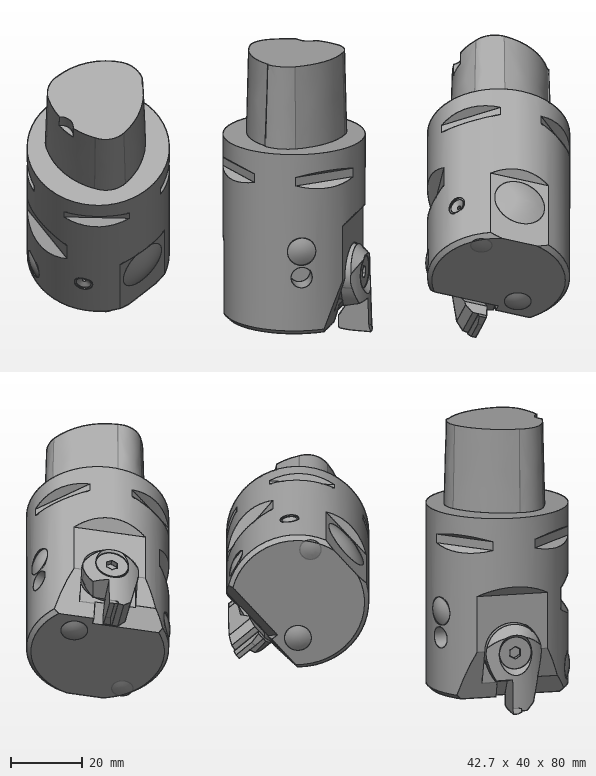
import cadquery as cq
import math

body_radius = 20.0
body_length = 53.1
body_chamfer = 1.25
outside = 30.0

shank_length = 24.0
shank_large_arc = 19.2
shank_small_arc = 9.0
lobe_centre_radius = 6.1
lobe_angles = (90, 210, 330)
lobe_half_angle = 30
shank_side_taper = 0.6
shank_taper_angle = math.degrees(math.atan(shank_side_taper / shank_length))
keyway_diameter = 7.1
keyway_centre_y = -14.55
keyway_depth = 4.1

gripper_floor_radius = 17.75
gripper_top = -6.7
gripper_bottom = -9.2
gripper_flank_angle = 30.0
gripper_azimuths = (45, 135, 225, 315)

flat_radius = 17.2
flat_top = -22.7
flat_flank_angle = 45.0
side_flat_bottom = -28.9
side_flat_azimuth = 260.0
back_flat_radius = 18.05
back_flat_top = -30.4

seat_z = -38.8
seat_diameter = 16.0
seat_radius = seat_diameter / 2
seat_floor_x = -14.2
relief_end_x = -12.8
steep_start_x = -14.5
steep_start_z = -47.5
steep_end_x = -10.75
steep_edge_y = 3.6

boss_diameter = 14.8
boss_rise = 1.5

plug_diameter = 8.02
plug_rise = 0.9
front_plug_azimuth = 249.0
front_plug_z = -46.4
rear_hole_azimuth = 112.5
rear_plug_z = -28.6
rear_hole_z = -36.2
rear_hole_diameter = 6.0
rear_hole_depth = 6.0

nozzle_azimuth = 304.4
nozzle_z = -39.0
nozzle_diameter = 5.25
nozzle_floor_radius = 19.6
nozzle_cone_diameter = 4.25
nozzle_cone_depth = 0.85
nozzle_bore_diameter = 1.0
nozzle_bore_depth = 2.0

end_domes = [
    (-7.0, 8.1, 7.54, 0.9),
    (13.2, -9.7, 6.0, 0.4),
]

screw_head_diameter = 9.2
screw_face_x = -20.5
screw_head_height = 3.0
screw_shank_diameter = 5.0
screw_tip_x = -6.0
hex_corner_diameter = 3.6
hex_depth = 1.5
hex_turn = 30

front_arc_radius = 12.4
front_x = -22.2
front_pivot_z = -53.0
front_tilt = 1.85
disc_drop = 0.3
disc_z = seat_z - disc_drop
disc_bevel_x = -18.3
bevel_cone_z = -39.8
bevel_cone_radius = 8.7
bevel_angle = 40.0
countersink_start_x = -20.7
countersink_half_angle = 52.0
blade_back_x = -15.85
foot_back_x = -13.3
foot_start_z = -48.0
foot_full_z = -51.9
blade_bottom_z = -55.3
blade_edge_y = 1.1
blade_right_top = (-7.85, -40.7)
blade_right_bottom = (-5.2, -53.1)
blade_corner = (-3.1, blade_bottom_z)
blade_left_top = (7.95, -39.6)
blade_left_mid = (6.6, -44.5)
blade_left_bottom = (4.5, -47.9)
notch_front_z = -46.1
notch_back_z = -47.9
tip_x = -22.74
tip_z = -56.0
tip_top_z = -54.0
tip_right_y = -1.4
tip_top_x = -22.1
tip_edge_end_x = -16.9
tip_heel = (-13.8, -55.7)
tip_flat_end_y = -0.3
tip_right_bottom_z = -55.5
tip_right_top_z = -54.6


def at_azimuth(shape, azimuth, z=0.0):
    """Turn a shape built on the +X side to an azimuth about Z and lift it to a height."""
    return shape.rotate((0, 0, 0), (0, 0, 1), azimuth).translate((0, 0, z))


def prism_y(points, y_from, y_to):
    """Prism along Y over an (x, z) outline."""
    return cq.Workplane("XZ", origin=(0, y_to, 0)).polyline(points).close().extrude(y_to - y_from)


def turned_x(points, z=0.0):
    """Solid of revolution about the X direction from an (x, radius) half outline."""
    half = cq.Workplane("XY").polyline(points).close()
    return half.revolve(360, (0, 0, 0), (1, 0, 0)).translate((0, 0, z))


def dome(diameter, rise):
    """Spherical cap standing on the YZ plane and bulging toward +X."""
    radius = diameter / 2
    sphere_radius = (radius**2 + rise**2) / (2 * rise)
    half = (
        cq.Workplane("XY")
        .moveTo(0, 0)
        .lineTo(0, radius)
        .radiusArc((rise, 0), sphere_radius)
        .close()
    )
    return half.revolve(360, (0, 0, 0), (1, 0, 0))


def milled_flat(floor_radius, top, bottom, flank_angle, azimuth):
    """Cutter for a flat-bottomed notch with sloped upper and lower flanks."""
    spread = (outside - floor_radius) * math.tan(math.radians(flank_angle))
    outline = [
        (floor_radius, top),
        (outside, top + spread),
        (outside, bottom - spread),
        (floor_radius, bottom),
    ]
    return at_azimuth(prism_y(outline, -outside, outside), azimuth)


def lobed_outline():
    """Constant-width outline of three small lobe arcs joined by three large arcs, one lobe at +Y."""
    def arc_point(lobe_angle, radius, normal_angle):
        lobe = math.radians(lobe_angle)
        normal = math.radians(normal_angle)
        return (
            lobe_centre_radius * math.cos(lobe) + radius * math.cos(normal),
            lobe_centre_radius * math.sin(lobe) + radius * math.sin(normal),
        )

    start = arc_point(lobe_angles[0], shank_small_arc, lobe_angles[0] - lobe_half_angle)
    outline = cq.Workplane("XY").moveTo(*start)
    for lobe_angle in lobe_angles:
        outline = outline.threePointArc(
            arc_point(lobe_angle, shank_small_arc, lobe_angle),
            arc_point(lobe_angle, shank_small_arc, lobe_angle + lobe_half_angle),
        )
        large_arc_middle = lobe_angle + 2 * lobe_half_angle
        opposite_lobe = large_arc_middle + 180
        outline = outline.threePointArc(
            arc_point(opposite_lobe, shank_large_arc, large_arc_middle),
            arc_point(opposite_lobe, shank_large_arc, large_arc_middle + lobe_half_angle),
        )
    return outline.close()


def make_shank():
    shank = lobed_outline().extrude(shank_length, taper=shank_taper_angle)
    keyway = (
        cq.Workplane("XY", origin=(0, keyway_centre_y, shank_length - keyway_depth))
        .circle(keyway_diameter / 2)
        .extrude(keyway_depth)
    )
    return shank.cut(keyway)


def cutter_side_relief():
    """Flat on the -X side that runs into one shallow and one steeper slope at the bottom."""
    flank_rise = (outside - flat_radius) * math.tan(math.radians(flat_flank_angle))
    flat = [
        (-flat_radius, flat_top),
        (-outside, flat_top + flank_rise),
        (-outside, -body_length),
        (relief_end_x, -body_length),
        (-flat_radius, seat_z),
    ]
    steep = [
        (steep_start_x, steep_start_z),
        (-outside, steep_start_z),
        (-outside, -body_length),
        (steep_end_x, -body_length),
    ]
    relief = prism_y(flat, -outside, outside)
    return relief.union(prism_y(steep, -outside, steep_edge_y))


def cutter_seat():
    """Round-topped seat for the cutter, open toward the bottom."""
    depth = outside + seat_floor_x
    plane = cq.Workplane("YZ", origin=(-outside, 0, 0))
    round_top = plane.center(0, seat_z).circle(seat_radius).extrude(depth)
    slot_length = body_length + seat_z
    slot = plane.center(0, seat_z - slot_length / 2).rect(seat_diameter, slot_length).extrude(depth)
    return round_top.union(slot)


def back_boss():
    """Domed boss on the flat opposite the cutter, with a root that joins it to the body."""
    root = cq.Workplane("YZ").circle(boss_diameter / 2).extrude(back_flat_radius)
    cap = dome(boss_diameter, boss_rise).translate((back_flat_radius, 0, 0))
    return root.union(cap).translate((0, 0, seat_z))


def add_domed_plug(body, azimuth, z):
    """Round pocket whose floor carries a domed plug that bulges slightly past the wall."""
    plug_radius = plug_diameter / 2
    base_radius = math.sqrt(body_radius**2 - plug_radius**2)
    pocket = cq.Workplane("YZ", origin=(base_radius, 0, 0)).circle(plug_radius).extrude(outside - base_radius)
    cap = dome(plug_diameter, plug_rise).translate((base_radius, 0, 0))
    return body.cut(at_azimuth(pocket, azimuth, z)).union(at_azimuth(cap, azimuth, z))


def nozzle_recess():
    cone_end = nozzle_floor_radius - nozzle_cone_depth
    bore_end = cone_end - nozzle_bore_depth
    recess = turned_x(
        [
            (bore_end, 0),
            (bore_end, nozzle_bore_diameter / 2),
            (cone_end, nozzle_bore_diameter / 2),
            (nozzle_floor_radius, nozzle_cone_diameter / 2),
            (nozzle_floor_radius, nozzle_diameter / 2),
            (outside, nozzle_diameter / 2),
            (outside, 0),
        ]
    )
    return at_azimuth(recess, nozzle_azimuth, nozzle_z)


def rear_hole():
    hole = (
        cq.Workplane("YZ", origin=(body_radius - rear_hole_depth, 0, 0))
        .circle(rear_hole_diameter / 2)
        .extrude(outside - body_radius + rear_hole_depth)
    )
    return at_azimuth(hole, rear_hole_azimuth, rear_hole_z)


def screw_blank():
    """Outside shape of the clamping screw, without its socket."""
    head_end_x = screw_face_x + screw_head_height
    return turned_x(
        [
            (screw_face_x, 0),
            (screw_face_x, screw_head_diameter / 2),
            (head_end_x, screw_head_diameter / 2),
            (head_end_x, screw_shank_diameter / 2),
            (screw_tip_x, screw_shank_diameter / 2),
            (screw_tip_x, 0),
        ],
        seat_z,
    )


def make_housing():
    body = cq.Workplane("XY").circle(body_radius).extrude(-body_length)
    body = body.faces("<Z").chamfer(body_chamfer).union(make_shank())
    for azimuth in gripper_azimuths:
        groove = milled_flat(gripper_floor_radius, gripper_top, gripper_bottom, gripper_flank_angle, azimuth)
        body = body.cut(groove)
    body = body.cut(
        milled_flat(flat_radius, flat_top, side_flat_bottom, flat_flank_angle, side_flat_azimuth)
    )
    body = body.cut(milled_flat(back_flat_radius, back_flat_top, -body_length, flat_flank_angle, 0))
    body = body.cut(cutter_side_relief()).cut(cutter_seat()).union(back_boss())
    body = add_domed_plug(body, front_plug_azimuth, front_plug_z)
    body = add_domed_plug(body, rear_hole_azimuth, rear_plug_z)
    body = body.cut(nozzle_recess()).cut(rear_hole())
    for x, y, diameter, rise in end_domes:
        cap = dome(diameter, rise).rotate((0, 0, 0), (0, 1, 0), 90)
        body = body.union(cap.translate((x, y, -body_length)))
    return body.cut(screw_blank())


def make_blade():
    """Blade from its front face to its back, which steps out to a thicker foot."""
    blade = (
        cq.Workplane("YZ", origin=(foot_back_x, 0, 0))
        .moveTo(*blade_right_top)
        .lineTo(*blade_right_bottom)
        .lineTo(*blade_corner)
        .lineTo(blade_edge_y, blade_bottom_z)
        .lineTo(blade_edge_y, blade_left_bottom[1])
        .lineTo(*blade_left_bottom)
        .threePointArc(blade_left_mid, blade_left_top)
        .close()
        .extrude(-(outside + foot_back_x))
    )
    behind_blade = [
        (blade_back_x, 0),
        (blade_back_x, foot_start_z),
        (foot_back_x, foot_full_z),
        (foot_back_x, 0),
    ]
    return blade.cut(prism_y(behind_blade, -outside, outside))


def make_cutter():
    disc_plane = cq.Workplane("YZ", origin=(-outside, 0, disc_z))
    disc = disc_plane.circle(seat_radius).extrude(outside + seat_floor_x)
    cutter = disc.union(make_blade())

    front_cylinder = (
        cq.Workplane("XY", origin=(front_x + front_arc_radius, 0, front_pivot_z - outside))
        .circle(front_arc_radius)
        .extrude(2 * outside)
        .rotate((front_x, 0, front_pivot_z), (front_x, 1, front_pivot_z), front_tilt)
    )
    cutter = cutter.intersect(front_cylinder)
    bevel_tip_x = disc_bevel_x - bevel_cone_radius / math.tan(math.radians(bevel_angle))
    outside_cone = turned_x(
        [
            (disc_bevel_x, bevel_cone_radius),
            (disc_bevel_x, outside),
            (bevel_tip_x, outside),
            (bevel_tip_x, 0),
        ],
        bevel_cone_z,
    )
    upper_half = cq.Workplane("XY", origin=(0, 0, seat_z)).rect(2 * outside, 2 * outside).extrude(outside)
    cutter = cutter.cut(outside_cone.intersect(upper_half))

    undercut = [
        (-outside, notch_front_z),
        (front_x, notch_front_z),
        (blade_back_x, notch_back_z),
        (seat_floor_x, notch_back_z),
        (seat_floor_x, tip_z),
        (-outside, tip_z),
    ]
    cutter = cutter.cut(prism_y(undercut, blade_edge_y, outside))

    head_radius = screw_head_diameter / 2
    sink_spread = (outside + countersink_start_x) * math.tan(math.radians(countersink_half_angle))
    countersink = turned_x(
        [
            (screw_face_x, 0),
            (screw_face_x, head_radius),
            (countersink_start_x, head_radius),
            (-outside, head_radius + sink_spread),
            (-outside, 0),
        ],
        seat_z,
    )
    return cutter.union(cutting_tip()).cut(countersink).cut(screw_blank())


def cutting_tip():
    """Thin cutting edge at the foot of the blade, flared forward and downward."""
    side = [
        (foot_back_x, tip_top_z),
        (tip_top_x, tip_top_z),
        (tip_x, tip_z),
        (tip_edge_end_x, tip_z),
        tip_heel,
        (foot_back_x, blade_bottom_z),
    ]
    face = (
        cq.Workplane("YZ", origin=(-outside, 0, 0))
        .moveTo(blade_edge_y, tip_top_z)
        .lineTo(blade_edge_y, tip_z)
        .lineTo(tip_flat_end_y, tip_z)
        .lineTo(tip_right_y, tip_right_bottom_z)
        .lineTo(tip_right_y, tip_right_top_z)
        .close()
        .extrude(outside)
    )
    return prism_y(side, tip_right_y, blade_edge_y).intersect(face)


def make_screw():
    socket = (
        cq.Workplane("YZ", origin=(screw_face_x, 0, seat_z))
        .polygon(6, hex_corner_diameter)
        .extrude(hex_depth)
        .rotate((0, 0, seat_z), (1, 0, seat_z), hex_turn)
    )
    return screw_blank().cut(socket)


housing = make_housing()
cutter = make_cutter()
screw = make_screw()

result = cq.Compound.makeCompound([body.solids().val() for body in (housing, cutter, screw)])